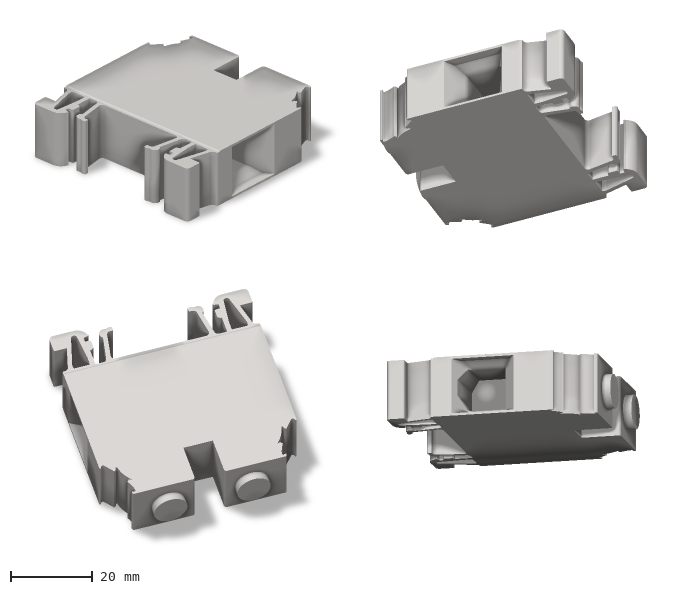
import cadquery as cq


total_height = 54.0
thickness = 15.0
foot_thickness = 14.8
half_width = 25.3

housing_bottom = 11.65
housing_top = 51.9
shoulder = 42.05
notch_half_width = 3.8
notch_round = 0.65
front_edge_bevel = 0.45

screw_diameter = 8.55
screw_x = -10.7
screw_z = thickness / 2
screw_seat_depth = 0.55

base_bottom = 10.95
leg_root = 11.25
foot_half_width = 25.5
foot_top = 4.55
foot_top_bevel = 0.2
foot_round = 1.0

entry_low, entry_high = 16.45, 32.1
entry_bottom, entry_top = 0.6, 14.35
entry_mid_z = (entry_bottom + entry_top) / 2
entry_half_height = (entry_top - entry_bottom) / 2
entry_straight = 2.7
funnel_slope = 0.62
funnel_corner_round = 0.65
channel_low, channel_high = 17.55, 28.45
channel_half_height = 5.2
channel_tip_half_height = 2.05
channel_corner_run = 1.9
channel_depth = 16.2
channel_lip_round = 2.95


def make_housing():
    """Upper body with the latching steps of its sloping shoulder."""
    blank = (
        cq.Workplane("XY")
        .moveTo(0, housing_bottom)
        .lineTo(-half_width, housing_bottom)
        .lineTo(-half_width, 41.75)
        .lineTo(-25.2, shoulder)
        .lineTo(-24.9, shoulder)
        .lineTo(-24.8, 41.75)
        .threePointArc((-24.4, 41.4), (-24.05, 41.5))
        .lineTo(-22.35, 43.6)
        .lineTo(-22.15, 43.95)
        .lineTo(-21.6, 43.6)
        .lineTo(-21.5, 43.0)
        .lineTo(-21.05, 43.0)
        .threePointArc((-20.15, 45.6), (-18.6, 47.65))
        .lineTo(-19.4, 47.35)
        .lineTo(-20.0, 47.95)
        .lineTo(-19.65, 48.45)
        .lineTo(-18.95, 50.1)
        .lineTo(-18.8, 51.0)
        .lineTo(-19.0, 51.3)
        .lineTo(-19.35, 51.15)
        .lineTo(-19.85, 51.15)
        .lineTo(-19.75, 51.55)
        .lineTo(-19.6, housing_top)
        .lineTo(-notch_half_width, housing_top)
        .lineTo(-notch_half_width, shoulder)
        .lineTo(0, shoulder)
        .close()
        .extrude(thickness)
    )
    notch_corner = cq.selectors.NearestToPointSelector((-notch_half_width, housing_top, thickness / 2))
    bevel = (
        cq.Workplane("YZ")
        .polyline([
            (housing_bottom, foot_thickness),
            (housing_bottom + front_edge_bevel, thickness),
            (housing_bottom, thickness),
        ])
        .close()
        .extrude(-half_width)
    )
    return blank.edges("|Z").edges(notch_corner).fillet(notch_round).cut(bevel)


def make_screw():
    """Cylindrical screw head standing out of the top face."""
    screw_bottom = housing_top - screw_seat_depth
    return (
        cq.Workplane("XZ", origin=(screw_x, screw_bottom, screw_z))
        .circle(screw_diameter / 2)
        .extrude(-(total_height - screw_bottom))
    )


def make_foot():
    """Base plate, hooked outer foot with its spring window, and inner leg."""
    outline = (
        cq.Workplane("XY")
        .moveTo(0, housing_bottom)
        .lineTo(-half_width, housing_bottom)
        .lineTo(-25.25, 11.1)
        .lineTo(-24.95, 11.05)
        .threePointArc((-24.15, 10.9), (-23.7, 10.5))
        .lineTo(-22.2, foot_top)
        .lineTo(-foot_half_width + foot_top_bevel, foot_top)
        .lineTo(-foot_half_width, foot_top - foot_top_bevel)
        .lineTo(-foot_half_width, foot_round)
        .radiusArc((-foot_half_width + foot_round, 0), -foot_round)
        .lineTo(-19.0, 0)
        .threePointArc((-17.35, 0.5), (-16.2, 1.9))
        .lineTo(-15.9, 2.2)
        .lineTo(-16.1, 2.5)
        .lineTo(-17.35, 2.75)
        .lineTo(-17.35, 3.95)
        .lineTo(-16.4, 3.95)
        .lineTo(-15.9, 4.1)
        .lineTo(-15.9, 6.35)
        .lineTo(-16.5, 6.8)
        .lineTo(-16.9, 6.8)
        .lineTo(-16.9, leg_root)
        .lineTo(-14.9, leg_root)
        .threePointArc((-14.15, 10.95), (-13.9, 10.35))
        .lineTo(-12.8, 4.3)
        .lineTo(-12.8, 4.0)
        .threePointArc((-13.3, 2.5), (-11.8, 1.7))
        .lineTo(-11.4, 1.75)
        .lineTo(-10.6, 1.45)
        .lineTo(-10.15, 1.45)
        .lineTo(-9.7, 1.7)
        .lineTo(-9.7, 2.7)
        .lineTo(-10.5, 2.7)
        .threePointArc((-11.25, 2.95), (-11.55, 3.8))
        .lineTo(-12.6, 9.95)
        .threePointArc((-12.35, 10.65), (-11.65, base_bottom))
        .lineTo(0, base_bottom)
        .close()
        .extrude(foot_thickness)
    )
    window = (
        cq.Workplane("XY")
        .moveTo(-22.2, base_bottom)
        .lineTo(-22.4, 10.7)
        .lineTo(-22.4, 9.85)
        .lineTo(-20.3, 1.95)
        .threePointArc((-19.6, 1.4), (-18.85, 1.85))
        .lineTo(-18.2, 8.65)
        .lineTo(-18.2, base_bottom)
        .close()
        .extrude(foot_thickness)
    )
    return outline.cut(window)


def make_wire_entry():
    """Void of the wire entry: a funnel whose walls round over into a six-sided channel."""
    corner_y = channel_low + channel_corner_run
    lip_depth = entry_straight + (entry_half_height - channel_half_height) / funnel_slope
    side_lip_depth = (entry_high - channel_high) / funnel_slope
    low_wall_end = entry_low + funnel_slope * channel_depth

    side_walls = (
        cq.Workplane("XY", origin=(-half_width, 0, 0))
        .moveTo(0, entry_low)
        .lineTo(channel_depth, low_wall_end)
        .lineTo(channel_depth, channel_high)
        .lineTo(side_lip_depth, channel_high)
        .lineTo(0, entry_high)
        .close()
        .extrude(thickness)
        .edges(cq.selectors.NearestToPointSelector((side_lip_depth - half_width, channel_high, entry_mid_z)))
        .fillet(channel_lip_round)
    )
    floor_and_ceiling = (
        cq.Workplane("XZ", origin=(-half_width, entry_high, entry_mid_z))
        .moveTo(0, -entry_half_height)
        .lineTo(entry_straight, -entry_half_height)
        .lineTo(lip_depth, -channel_half_height)
        .lineTo(channel_depth, -channel_half_height)
        .lineTo(channel_depth, channel_half_height)
        .lineTo(lip_depth, channel_half_height)
        .lineTo(entry_straight, entry_half_height)
        .lineTo(0, entry_half_height)
        .close()
        .extrude(entry_high - entry_low)
    )
    for side in (-1, 1):
        lip = (lip_depth - half_width, (entry_low + entry_high) / 2, entry_mid_z + side * channel_half_height)
        floor_and_ceiling = (
            floor_and_ceiling.edges(cq.selectors.NearestToPointSelector(lip)).fillet(channel_lip_round)
        )
    funnel = side_walls.intersect(floor_and_ceiling)

    for side in (-1, 1):
        depth = (entry_straight + lip_depth) / 2
        corner = (
            depth - half_width,
            entry_low + funnel_slope * depth,
            entry_mid_z + side * (entry_half_height - funnel_slope * (depth - entry_straight)),
        )
        funnel = funnel.edges(cq.selectors.NearestToPointSelector(corner)).fillet(funnel_corner_round)

    channel = (
        cq.Workplane("YZ", origin=(-half_width, 0, entry_mid_z))
        .polyline([
            (channel_high, -channel_half_height),
            (channel_high, channel_half_height),
            (corner_y, channel_half_height),
            (channel_low, channel_tip_half_height),
            (channel_low, -channel_tip_half_height),
            (corner_y, -channel_half_height),
        ])
        .close()
        .extrude(channel_depth)
    )
    return funnel.union(channel)


half = make_housing().union(make_foot()).union(make_screw()).cut(make_wire_entry())
result = half.union(half.mirror("YZ")).clean()